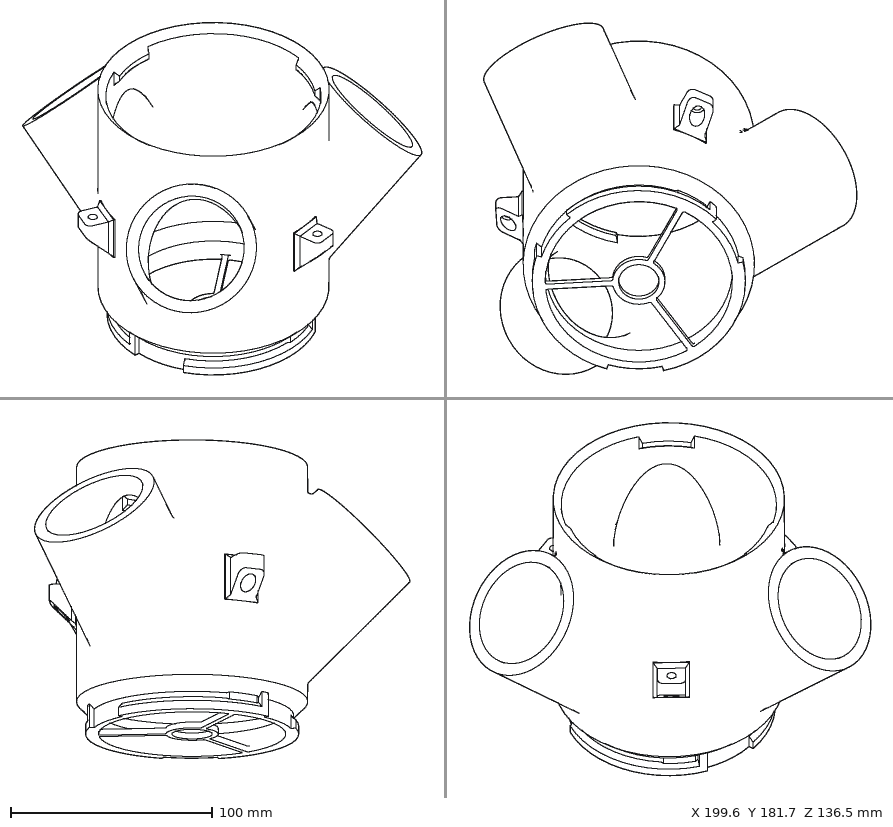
import cadquery as cq
import math

TUBE_AZIMUTHS = (90, 210, 330)
TAB_AZIMUTHS = (30, 150, 270)

BODY_RADIUS = 115 / 2
BODY_BORE_RADIUS = 107 / 2
PLUG_RADIUS = 101 / 2
PLUG_BORE_RADIUS = 93 / 2
WALL_THICKNESS = PLUG_RADIUS - PLUG_BORE_RADIUS
SLEEVE_LENGTH = 120.0
CONE_BASE_Z = 9.5
INNER_CONE_RISE = WALL_THICKNESS * math.tan(math.radians(45 / 2))
CONE_TOP_Z = CONE_BASE_Z + BODY_RADIUS - PLUG_RADIUS
TOP_Z = CONE_TOP_Z + SLEEVE_LENGTH

TUBE_RADIUS = 65 / 2
TUBE_BORE_RADIUS = 52.7 / 2
TUBE_TILT = 45.0
TUBE_START = 40.0
TUBE_END = 121.0
TUBE_ORIGIN_Z = 14.25
SEAM_TURN = 90.0
OUTER_FILLET = 2.5
INNER_FILLET = 4.0

TAB_WIDTH = 14.0
TAB_TIP_RADIUS = 71.0
TAB_TOP_Z = 76.5
TAB_TIP_HEIGHT = 7.5
TAB_CORNER_RADIUS = 3.0
TAB_ROOT_CHAMFER = 2.0
TAB_HOLE_RADIUS = 65.0
SCREW_DIAMETER = 4.5
SCREW_HEAD_DIAMETER = 7.5
SCREW_SEAT_THICKNESS = 4.0

FLANGE_RADIUS = 53.0
FLANGE_EDGE_Z = 4.3
FLANGE_TOP_Z = FLANGE_EDGE_Z + FLANGE_RADIUS - PLUG_RADIUS
FLANGE_START = 51.0 - 120.0
STOP_START = 15.5
STOP_END = 20.2
STOP_TOP_Z = CONE_BASE_Z + FLANGE_RADIUS - PLUG_RADIUS
BUMP_RADIUS = 51.0
BUMP_MIDDLE = 4.9
BUMP_CREST_HALF_ANGLE = 9.0
BUMP_FOOT_HALF_ANGLE = 10.5
BUMP_BASE_Z = 5.0
BUMP_TOP_Z = 10.0

LUG_RADIUS = 51.0
LUG_CREST_HALF_ANGLE = 13.7
LUG_FOOT_HALF_ANGLE = 15.5
LUG_EDGE_HEIGHT = 3.0

HUB_RADIUS = 13.0
HUB_BORE_RADIUS = 20 / 2
SPOKE_WIDTH = 3.0
SPIDER_HEIGHT = 3.0
SPOKE_FILLET = 1.0

WALL_OVERLAP = 1.0

MATCH_TOLERANCE = 0.01
EDGE_SAMPLES = (0.13, 0.37, 0.71)


def polar(radius, azimuth):
    angle = math.radians(azimuth)
    return (radius * math.cos(angle), radius * math.sin(angle))


def turned(shape, azimuth):
    return shape.rotate((0, 0, 0), (0, 0, 1), azimuth)


def revolved(outline):
    """Revolve an (r, z) outline about the Z axis."""
    return cq.Workplane("XZ").polyline(outline).close().revolve(360, (0, 0), (0, 1))


def sector(radius, start, end, base_z, top_z):
    """Pie slice about the Z axis, less than a half turn wide."""
    return (
        cq.Workplane("XY").workplane(offset=base_z)
        .lineTo(*polar(radius, start))
        .threePointArc(polar(radius, (start + end) / 2), polar(radius, end))
        .close()
        .extrude(top_z - base_z)
    )


def arc_block(foot_radius, foot_half_angle, crest_radius, crest_half_angle, base_z, top_z):
    """Block centred on +X, bounded by two concentric arcs and two slanted ends."""
    return (
        cq.Workplane("XY").workplane(offset=base_z)
        .moveTo(*polar(foot_radius, -foot_half_angle))
        .threePointArc((foot_radius, 0), polar(foot_radius, foot_half_angle))
        .lineTo(*polar(crest_radius, crest_half_angle))
        .threePointArc((crest_radius, 0), polar(crest_radius, -crest_half_angle))
        .close()
        .extrude(top_z - base_z)
    )


def rim_z(radius):
    """Height of the 45 degree conical mouth at a given radius."""
    return TOP_Z - (BODY_RADIUS - radius)


def make_body_outside():
    return revolved([
        (0, 0),
        (PLUG_RADIUS, 0),
        (PLUG_RADIUS, CONE_BASE_Z),
        (BODY_RADIUS, CONE_TOP_Z),
        (BODY_RADIUS, TOP_Z),
        (0, TOP_Z),
    ])


def make_body_bore():
    return revolved([
        (0, 0),
        (PLUG_BORE_RADIUS, 0),
        (PLUG_BORE_RADIUS, CONE_BASE_Z + INNER_CONE_RISE),
        (BODY_BORE_RADIUS, CONE_TOP_Z + INNER_CONE_RISE),
        (BODY_BORE_RADIUS, TOP_Z),
        (0, TOP_Z),
    ])


def make_branch(radius, azimuth):
    """Inclined cylinder that starts inside the body; its seam lies on the side."""
    cylinder = (
        cq.Workplane("XY").workplane(offset=TUBE_START)
        .circle(radius)
        .extrude(TUBE_END - TUBE_START)
        .rotate((0, 0, 0), (0, 0, 1), SEAM_TURN)
    )
    tilted = cylinder.rotate((0, 0, 0), (0, 1, 0), 90 - TUBE_TILT)
    return turned(tilted.translate((0, 0, TUBE_ORIGIN_Z)), azimuth)


def find_joint_edges(shape, wall_radius, tube_radius):
    """Edges where a tube surface of tube_radius meets the wall of wall_radius."""
    tilt = math.radians(TUBE_TILT)

    def lies_on_tube(point, azimuth):
        x, y = polar(math.cos(tilt), azimuth)
        axis = cq.Vector(x, y, math.sin(tilt))
        arm = point - cq.Vector(0, 0, TUBE_ORIGIN_Z)
        return abs(arm.cross(axis).Length - tube_radius) < MATCH_TOLERANCE

    def lies_on_joint(edge):
        for position in EDGE_SAMPLES:
            point = edge.positionAt(position)
            if abs(math.hypot(point.x, point.y) - wall_radius) > MATCH_TOLERANCE:
                return False
            if not any(lies_on_tube(point, azimuth) for azimuth in TUBE_AZIMUTHS):
                return False
        return True

    return shape.newObject([edge for edge in shape.edges().vals() if lies_on_joint(edge)])


def make_shell():
    shell = make_body_outside()
    for azimuth in TUBE_AZIMUTHS:
        tube = make_branch(TUBE_RADIUS, azimuth).cut(make_body_bore())
        shell = shell.union(tube)
    shell = find_joint_edges(shell, BODY_RADIUS, TUBE_RADIUS).fillet(OUTER_FILLET)
    shell = shell.cut(make_body_bore())
    for azimuth in TUBE_AZIMUTHS:
        shell = shell.cut(make_branch(TUBE_BORE_RADIUS, azimuth))
    return find_joint_edges(shell, BODY_BORE_RADIUS, TUBE_BORE_RADIUS).fillet(INNER_FILLET)


def make_tab():
    """Screw tab on the +X side with a 45 degree underside and a chamfered root."""
    root_radius = BODY_RADIUS - WALL_OVERLAP
    tip_base_z = TAB_TOP_Z - TAB_TIP_HEIGHT
    base_z = tip_base_z - (TAB_TIP_RADIUS - BODY_RADIUS)
    crest_radius = BODY_RADIUS + TAB_ROOT_CHAMFER
    tall = TAB_TOP_Z + TAB_ROOT_CHAMFER - base_z
    block = (
        cq.Workplane("XY").workplane(offset=base_z)
        .center((root_radius + TAB_TIP_RADIUS) / 2, 0)
        .rect(TAB_TIP_RADIUS - root_radius, TAB_WIDTH)
        .extrude(TAB_TOP_Z - base_z)
        .edges("|Z and >X").fillet(TAB_CORNER_RADIUS)
    )
    root = (
        cq.Workplane("XY").workplane(offset=base_z)
        .center((root_radius + crest_radius) / 2, 0)
        .rect(crest_radius - root_radius, TAB_WIDTH + 2 * TAB_ROOT_CHAMFER)
        .extrude(tall)
        .faces(">X").edges("not <Z").chamfer(TAB_ROOT_CHAMFER)
    )
    underside = (
        cq.Workplane("XZ")
        .polyline([
            (root_radius, base_z - WALL_OVERLAP),
            (root_radius, base_z + tall),
            (TAB_TIP_RADIUS, base_z + tall),
            (TAB_TIP_RADIUS, tip_base_z),
        ])
        .close()
        .extrude(TAB_WIDTH, both=True)
    )
    hole_plane = cq.Workplane("XY").workplane(offset=base_z).center(TAB_HOLE_RADIUS, 0)
    screw_hole = hole_plane.circle(SCREW_DIAMETER / 2).extrude(tall)
    seat_height = TAB_TOP_Z - SCREW_SEAT_THICKNESS - base_z
    head_recess = hole_plane.circle(SCREW_HEAD_DIAMETER / 2).extrude(seat_height)
    return block.union(root).intersect(underside).cut(screw_hole).cut(head_recess)


def make_plug_bayonet():
    """One flange with its stop and latch bump, angles measured from +X."""
    flange = revolved([
        (PLUG_RADIUS - WALL_OVERLAP, 0),
        (FLANGE_RADIUS, 0),
        (FLANGE_RADIUS, FLANGE_EDGE_Z),
        (PLUG_RADIUS, FLANGE_TOP_Z),
        (PLUG_RADIUS - WALL_OVERLAP, FLANGE_TOP_Z),
    ]).intersect(sector(BODY_RADIUS, FLANGE_START, STOP_END, 0, FLANGE_TOP_Z))
    stop = revolved([
        (PLUG_RADIUS - WALL_OVERLAP, 0),
        (FLANGE_RADIUS, 0),
        (FLANGE_RADIUS, STOP_TOP_Z),
        (PLUG_RADIUS - WALL_OVERLAP, STOP_TOP_Z),
    ]).intersect(sector(BODY_RADIUS, STOP_START, STOP_END, 0, STOP_TOP_Z))
    bump = arc_block(
        PLUG_RADIUS, BUMP_FOOT_HALF_ANGLE, BUMP_RADIUS, BUMP_CREST_HALF_ANGLE, BUMP_BASE_Z, BUMP_TOP_Z
    )
    return flange.union(stop).union(turned(bump, BUMP_MIDDLE))


def make_mouth_lug():
    """Lug on the +X side of the mouth, rooted in the wall, with a 45 degree underside."""
    foot_radius = BODY_BORE_RADIUS + WALL_OVERLAP
    crest_base_z = rim_z(LUG_RADIUS) - LUG_EDGE_HEIGHT
    foot_base_z = crest_base_z - (foot_radius - LUG_RADIUS)
    block = arc_block(
        foot_radius, LUG_FOOT_HALF_ANGLE, LUG_RADIUS, LUG_CREST_HALF_ANGLE, foot_base_z, TOP_Z - WALL_OVERLAP
    )
    below_slope = revolved([
        (0, foot_base_z),
        (foot_radius, foot_base_z),
        (0, foot_base_z + foot_radius),
    ])
    return block.cut(below_slope)


def make_mouth_cone():
    """Space inside the 45 degree mouth, which trims both the wall and the lugs."""
    return revolved([
        (0, rim_z(0)),
        (BODY_RADIUS, TOP_Z),
        (0, TOP_Z),
    ])


def upright_edges(shape, radius):
    """Edges parallel to Z within the spider height, at the given distance from the axis."""
    return shape.edges("|Z").filter(
        lambda edge: abs(math.hypot(edge.Center().x, edge.Center().y) - radius) < MATCH_TOLERANCE
        and edge.Center().z < SPIDER_HEIGHT
    )


def make_spider():
    spider = cq.Workplane("XY").circle(HUB_RADIUS).extrude(SPIDER_HEIGHT)
    spoke_end = PLUG_BORE_RADIUS + WALL_OVERLAP
    spoke = cq.Workplane("XY").center(spoke_end / 2, 0).rect(spoke_end, SPOKE_WIDTH).extrude(SPIDER_HEIGHT)
    for azimuth in TAB_AZIMUTHS:
        spider = spider.union(turned(spoke, azimuth))
    hub_bore = cq.Workplane("XY").circle(HUB_BORE_RADIUS).extrude(SPIDER_HEIGHT)
    return upright_edges(spider, HUB_RADIUS).fillet(SPOKE_FILLET).cut(hub_bore)


result = make_shell()
mouth_lug = make_mouth_lug()
for azimuth in TUBE_AZIMUTHS:
    result = result.union(turned(mouth_lug, azimuth))
result = result.cut(make_mouth_cone()).union(make_spider())
result = upright_edges(result, PLUG_BORE_RADIUS).fillet(SPOKE_FILLET)
tab = make_tab()
plug_bayonet = make_plug_bayonet()
for azimuth in TAB_AZIMUTHS:
    result = result.union(turned(tab, azimuth)).union(turned(plug_bayonet, azimuth))